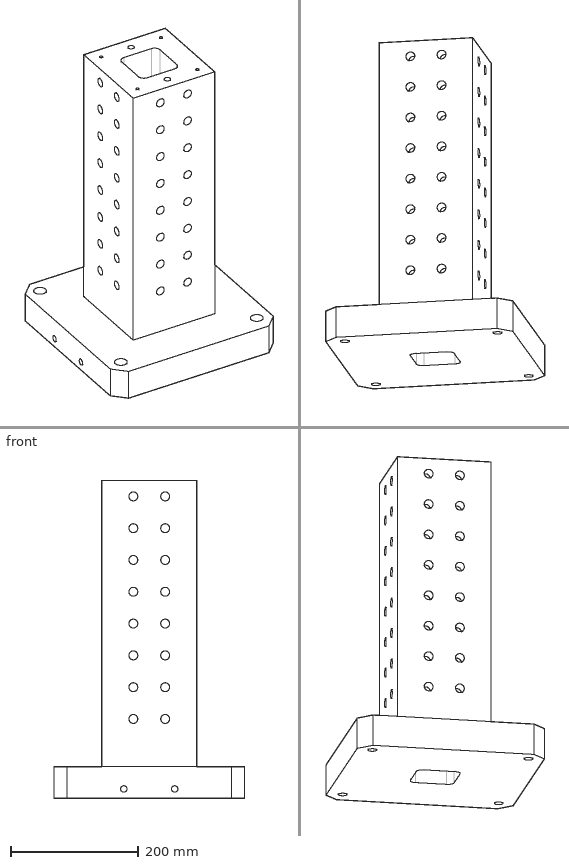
import cadquery as cq
import math

PLATE_SIDE = 300.0
PLATE_HEIGHT = 50.0
CORNER_CHAMFER = 21.0

COLUMN_SIDE = 150.0
TOTAL_HEIGHT = 500.0
BORE_SIDE = 70.0
BORE_CORNER_RADIUS = 10.0

MOUNT_X_POSITIONS = (-125.0, 120.0)
MOUNT_SPACING_Y = 250.0
MOUNT_HOLE_DIAMETER = 14.0
MOUNT_COUNTERBORE_DIAMETER = 20.0
MOUNT_COUNTERBORE_DEPTH = 20.0

GRID_HOLE_DIAMETER = 14.0
GRID_HOLE_DEPTH = 25.0
GRID_PITCH = 50.0
GRID_ROWS = 8
GRID_TOP_MARGIN = 25.0
COLUMN_SIDES = 4

EDGE_HOLE_DIAMETER = 10.11
EDGE_HOLE_DEPTH = 20.0
EDGE_HOLE_SPACING = 80.0
EDGE_HOLE_HEIGHT = 15.0

TOP_HOLE_SPACING = 110.0
TOP_CORNER_HOLE_DIAMETER = 5.0
TOP_CORNER_HOLE_DEPTH = 15.0
TOP_MIDDLE_HOLE_DIAMETER = 10.11
TOP_MIDDLE_HOLE_DEPTH = 20.0

DRILL_POINT_ANGLE = 118.0


def drill(diameter, depth, mouth, direction):
    """Blind hole tool: a cylinder of the given depth ended by a drill point."""
    radius = diameter / 2
    tip = radius / math.tan(math.radians(DRILL_POINT_ANGLE / 2))
    start = cq.Vector(*mouth)
    along = cq.Vector(*direction)
    shank = cq.Solid.makeCylinder(radius, depth, start, along)
    point = cq.Solid.makeCone(radius, 0, tip, start + along * depth, along)
    return shank.fuse(point)


def make_body():
    plate = (
        cq.Workplane("XY")
        .rect(PLATE_SIDE, PLATE_SIDE)
        .extrude(PLATE_HEIGHT)
        .edges("|Z")
        .chamfer(CORNER_CHAMFER)
    )
    column = cq.Workplane("XY").rect(COLUMN_SIDE, COLUMN_SIDE).extrude(TOTAL_HEIGHT)
    bore = (
        cq.Workplane("XY")
        .rect(BORE_SIDE, BORE_SIDE)
        .extrude(TOTAL_HEIGHT)
        .edges("|Z")
        .fillet(BORE_CORNER_RADIUS)
    )
    return plate.union(column).cut(bore)


def cut_mount_holes(body):
    """Counterbored through holes; the +X pair sits nearer the middle than the -X pair."""
    half_spacing = MOUNT_SPACING_Y / 2
    centres = [(x, y) for x in MOUNT_X_POSITIONS for y in (-half_spacing, half_spacing)]
    return (
        body.faces("<Z[-2]")
        .workplane(origin=(0, 0, PLATE_HEIGHT))
        .pushPoints(centres)
        .cboreHole(MOUNT_HOLE_DIAMETER, MOUNT_COUNTERBORE_DIAMETER, MOUNT_COUNTERBORE_DEPTH)
    )


def grid_hole_tools():
    """Two columns of holes on the -Y side, repeated around the column."""
    tools = []
    for row in range(GRID_ROWS):
        z = TOTAL_HEIGHT - GRID_TOP_MARGIN - row * GRID_PITCH
        for x in (-GRID_PITCH / 2, GRID_PITCH / 2):
            hole = drill(GRID_HOLE_DIAMETER, GRID_HOLE_DEPTH, (x, -COLUMN_SIDE / 2, z), (0, 1, 0))
            for side in range(COLUMN_SIDES):
                turn = side * 360 / COLUMN_SIDES
                tools.append(hole.rotate(cq.Vector(0, 0, 0), cq.Vector(0, 0, 1), turn))
    return tools


def edge_hole_tools():
    tools = []
    for x in (-EDGE_HOLE_SPACING / 2, EDGE_HOLE_SPACING / 2):
        mouth = (x, -PLATE_SIDE / 2, EDGE_HOLE_HEIGHT)
        tools.append(drill(EDGE_HOLE_DIAMETER, EDGE_HOLE_DEPTH, mouth, (0, 1, 0)))
    return tools


def top_hole_tools():
    """A small hole near each corner and a larger one midway on the -X and +X walls."""
    down = (0, 0, -1)
    offset = TOP_HOLE_SPACING / 2
    tools = []
    for x in (-offset, offset):
        middle = (x, 0, TOTAL_HEIGHT)
        tools.append(drill(TOP_MIDDLE_HOLE_DIAMETER, TOP_MIDDLE_HOLE_DEPTH, middle, down))
        for y in (-offset, offset):
            corner = (x, y, TOTAL_HEIGHT)
            tools.append(drill(TOP_CORNER_HOLE_DIAMETER, TOP_CORNER_HOLE_DEPTH, corner, down))
    return tools


hole_tools = grid_hole_tools() + edge_hole_tools() + top_hole_tools()
body = cut_mount_holes(make_body())
result = body.cut(cq.Workplane(cq.Compound.makeCompound(hole_tools)))